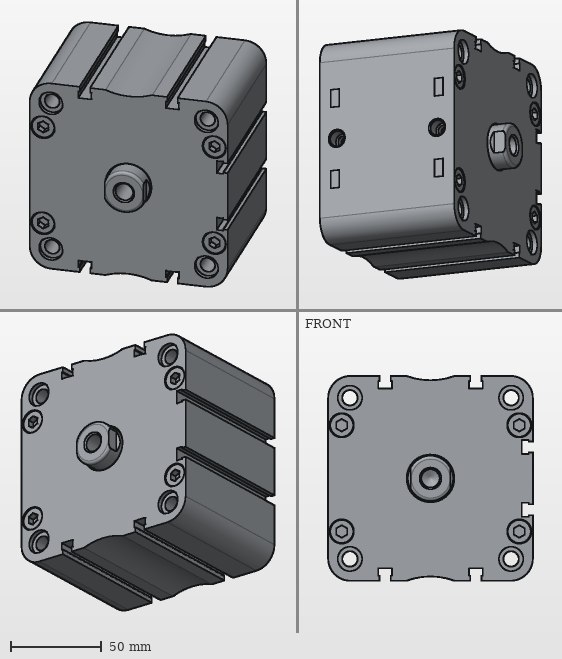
import cadquery as cq
import math

side = 113.3
half = side / 2
body_length = 82.0
rod_stickout = 10.0
corner_radius = 12.5
front = 0.0
rear = front + body_length

neck_width = 6.0
slot_width = 7.5
top_slot_offset = 25.0
top_slot_depth = 6.9
top_neck_depth = 3.0
side_slot_offset = 17.3
side_slot_depth = 6.1
side_neck_depth = 2.5

trough_half_width = 13.4
trough_depth = 2.4

mount_offset = 44.5
mount_diameter = 8.4
mount_counterbore = 13.5
mount_counterbore_depth = 3.0

screw_x = 49.1
screw_z = 29.3
screw_pocket = 13.5
screw_head = 12.7
screw_pocket_depth = 6.0
screw_head_recess = 0.5
hex_across_flats = 6.0
hex_depth = 4.5
socket_turn = 30.0

port_inset = 10.4
port_mouth = 10.1
port_thread = 8.6
port_drill = 6.0
port_thread_depth = 8.0
port_depth = 12.0

label_length = 10.0
label_width = 5.2
label_offset = 23.0
label_inset = 9.4
label_depth = 0.1

rod_diameter = 25.0
rod_bushing = 25.5
rod_gap_depth = 2.3
rod_gap_chamfer = 0.5
rod_edge_radius = 1.8
rod_flats = 22.0
flat_start = 3.0
rod_thread = 10.1
rod_mouth = 12.0
rod_thread_depth = 20.0
drill_half_angle = math.radians(59)


def front_plane(y):
    """Sketch plane at distance y along the rod axis, facing -Y with X right and Z up."""
    return cq.Workplane("XZ", origin=(0, y, 0))


def cylinder(x, z, diameter, start, depth):
    """Cylinder running along +Y from start."""
    return front_plane(start).center(x, z).circle(diameter / 2).extrude(-depth)


def tee_slot(neck_depth, depth):
    """T-slot along Y opening upwards, with its mouth at Z = 0."""
    wide_height = depth - neck_depth
    neck = cq.Workplane("XY").box(neck_width, body_length, depth)
    wide = cq.Workplane("XY").box(slot_width, body_length, wide_height)
    neck = neck.translate((0, body_length / 2, -depth / 2))
    wide = wide.translate((0, body_length / 2, wide_height / 2 - depth))
    return neck.union(wide)


def trough():
    """Circular-arc trough cut along the whole top face."""
    edge_left = (-trough_half_width, half)
    edge_right = (trough_half_width, half)
    profile = front_plane(front).moveTo(*edge_left)
    profile = profile.threePointArc((0, half - trough_depth), edge_right).close()
    return profile.extrude(-body_length)


def on_four_corners(x, z):
    """Centres mirrored about both the X and Z axes."""
    return [(sx * x, sz * z) for sx in (-1, 1) for sz in (-1, 1)]


def turn(shape, degrees):
    """Turn a shape about the rod axis."""
    return shape.rotate((0, 0, 0), (0, 1, 0), degrees)


def make_body():
    """Rounded block with troughs and T-slots along its length."""
    body = front_plane(front).rect(side, side).extrude(-body_length)
    body = body.edges("|Y").fillet(corner_radius)
    top_slot = tee_slot(top_neck_depth, top_slot_depth)
    side_slot = tee_slot(side_neck_depth, side_slot_depth)
    for face_angle in (0, 180):
        body = body.cut(turn(trough(), face_angle))
        for offset in (-top_slot_offset, top_slot_offset):
            body = body.cut(turn(top_slot.translate((offset, 0, half)), face_angle))
    for offset in (-side_slot_offset, side_slot_offset):
        body = body.cut(turn(side_slot.translate((offset, 0, half)), 90))
    return body


def cut_mounting_holes(body):
    """Through holes in the corners, counterbored in the front face."""
    for x, z in on_four_corners(mount_offset, mount_offset):
        body = body.cut(cylinder(x, z, mount_diameter, front, body_length))
        body = body.cut(cylinder(x, z, mount_counterbore, front, mount_counterbore_depth))
    return body


def add_cap_screws(body):
    """Socket-head screws standing in round pockets of the front face."""
    hex_diameter = hex_across_flats / math.cos(math.radians(30))
    head_length = screw_pocket_depth - screw_head_recess
    for x, z in on_four_corners(screw_x, screw_z):
        body = body.cut(cylinder(x, z, screw_pocket, front, screw_pocket_depth))
        body = body.union(cylinder(x, z, screw_head, screw_head_recess, head_length))
        socket = cq.Workplane("XZ").polygon(6, hex_diameter).extrude(-hex_depth)
        socket = turn(socket, socket_turn).translate((x, screw_head_recess, z))
        body = body.cut(socket)
    return body


def revolved(profile):
    """Solid of revolution about Y from (radius, y) points that start and end on the axis."""
    return cq.Workplane("XY").polyline(profile).close().revolve(360, (0, 0, 0), (0, 1, 0))


def port():
    """Air port along +Y from the origin: countersunk mouth, thread bore and drilled core."""
    mouth_depth = (port_mouth - port_thread) / 2
    return revolved([
        (0, 0),
        (port_mouth / 2, 0),
        (port_thread / 2, mouth_depth),
        (port_thread / 2, port_thread_depth),
        (port_drill / 2, port_thread_depth),
        (port_drill / 2, port_depth),
        (0, port_depth),
    ])


def cut_ports(body):
    """One air port in each cap, with a shallow label recess on either side of it."""
    port_cutter = port().rotate((0, 0, 0), (0, 0, 1), -90)
    label = cq.Workplane("XY").box(2 * label_depth, label_width, label_length)
    for y in (front + port_inset, rear - port_inset):
        body = body.cut(port_cutter.translate((-half, y, 0)))
    for y in (front + label_inset, rear - label_inset):
        for z in (-label_offset, label_offset):
            body = body.cut(label.translate((-half, y, z)))
    return body


def add_rod(body):
    """Rod end with a rounded rim, two wrench flats and a drilled thread, in a chamfered annular gap."""
    rod_end = front - rod_stickout
    gap_radius = rod_bushing / 2
    gap_end = front + rod_gap_depth
    body = body.cut(revolved([
        (0, front),
        (gap_radius + rod_gap_chamfer, front),
        (gap_radius, front + rod_gap_chamfer),
        (gap_radius, gap_end),
        (0, gap_end),
    ]))

    rod = cylinder(0, 0, rod_diameter, rod_end, rod_stickout + rod_gap_depth)
    rod = rod.faces("<Y").edges().fillet(rod_edge_radius)
    flat_cut = (rod_diameter - rod_flats) / 2
    flat_end = front - flat_start
    flat = cq.Workplane("XY").polyline([
        (rod_flats / 2, rod_end),
        (rod_flats / 2, flat_end),
        (rod_flats / 2 + flat_cut, flat_end + flat_cut),
        (rod_flats / 2 + flat_cut, rod_end),
    ]).close().extrude(rod_diameter / 2, both=True)
    rod = rod.cut(flat).cut(flat.mirror("YZ"))

    thread_end = rod_end + rod_thread_depth
    drill_tip = thread_end + rod_thread / 2 / math.tan(drill_half_angle)
    bore = revolved([
        (0, rod_end),
        (rod_mouth / 2, rod_end),
        (rod_thread / 2, rod_end + (rod_mouth - rod_thread) / 2),
        (rod_thread / 2, thread_end),
        (0, drill_tip),
    ])
    return body.union(rod).cut(bore)


result = make_body()
result = cut_mounting_holes(result)
result = add_cap_screws(result)
result = cut_ports(result)
result = add_rod(result)